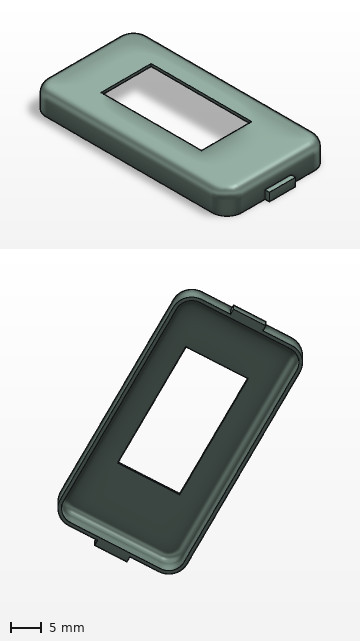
import cadquery as cq

body_length = 45.0
body_width = 23.5
body_height = 5.2
corner_radius = 3.4
top_edge_radius = 2.0

wall = 0.6

window_length = 23.1
window_width = 11.5
window_offset_x = -0.9

tab_projection = 1.0
tab_width = 6.0
tab_height = 1.9


def rounded_block(length, width, height, side_radius, edge_radius):
    """Block standing on Z = 0 with rounded vertical corners and a rounded top rim."""
    block = cq.Workplane("XY").rect(length, width).extrude(height)
    return block.edges("|Z").fillet(side_radius).faces(">Z").edges().fillet(edge_radius)


def make_shell():
    """Cover of uniform wall thickness, open underneath."""
    outer = rounded_block(body_length, body_width, body_height, corner_radius, top_edge_radius)
    cavity = rounded_block(
        body_length - 2 * wall,
        body_width - 2 * wall,
        body_height - wall,
        corner_radius - wall,
        top_edge_radius - wall,
    )
    return outer.cut(cavity)


def make_window():
    """Cutter for the window, tall enough to pass through the top plate."""
    return (
        cq.Workplane("XY")
        .center(window_offset_x, 0)
        .rect(window_length, window_width)
        .extrude(body_height)
    )


def make_tab(side):
    """Tab on the end at +X (side = 1) or -X (side = -1), rooted in the end wall."""
    tab_length = tab_projection + wall
    tab_center_x = side * (body_length / 2 - wall + tab_length / 2)
    return (
        cq.Workplane("XY")
        .center(tab_center_x, 0)
        .rect(tab_length, tab_width)
        .extrude(tab_height)
    )


result = make_shell().cut(make_window())
for side in (-1, 1):
    result = result.union(make_tab(side))